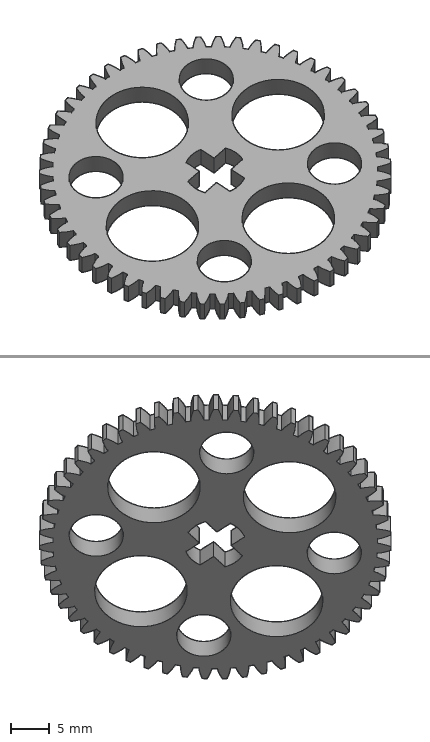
import cadquery as cq
import math

tooth_count = 55
outer_diameter = 45.6
thickness = 3.0
pressure_angle = math.radians(20)
dedendum_factor = 7 / 6
first_tooth_angle = -1.2
flank_points = 6

large_hole_diameter = 12.0
large_hole_circle_radius = 12.5
small_hole_diameter = 7.0
small_hole_circle_radius = 15.5
holes_per_circle = 4

axle_diameter = 8.02
axle_arm_width = 2.9

module = outer_diameter / (tooth_count + 2)
pitch_radius = module * tooth_count / 2
outer_radius = outer_diameter / 2
root_radius = pitch_radius - dedendum_factor * module
base_radius = pitch_radius * math.cos(pressure_angle)
tooth_pitch = 2 * math.pi / tooth_count


def polar(radius, angle):
    return (radius * math.cos(angle), radius * math.sin(angle))


def involute(angle):
    return math.tan(angle) - angle


def half_tooth_angle(radius):
    """Angle between a tooth's centre line and its involute flank at a radius."""
    flank_angle = math.acos(base_radius / radius)
    return tooth_pitch / 4 + involute(pressure_angle) - involute(flank_angle)


def gear_blank():
    flank_step = (outer_radius - root_radius) / (flank_points - 1)
    radii = [root_radius + i * flank_step for i in range(flank_points)]
    root_half_angle = half_tooth_angle(root_radius)
    first_centre = math.radians(first_tooth_angle)

    outline = cq.Workplane("XY").moveTo(*polar(root_radius, first_centre - root_half_angle))
    for tooth in range(tooth_count):
        centre = first_centre + tooth * tooth_pitch
        rising = [polar(r, centre - half_tooth_angle(r)) for r in radii]
        falling = [polar(r, centre + half_tooth_angle(r)) for r in reversed(radii)]
        gap_middle = polar(root_radius, centre + tooth_pitch / 2)
        next_tooth = polar(root_radius, centre + tooth_pitch - root_half_angle)

        outline = outline.spline(rising[1:], includeCurrent=True)
        outline = outline.threePointArc(polar(outer_radius, centre), falling[0])
        outline = outline.spline(falling[1:], includeCurrent=True)
        outline = outline.threePointArc(gap_middle, next_tooth)
    return outline.close().extrude(thickness)


def hole_circle(circle_radius, diameter, start_angle):
    return (
        cq.Workplane("XY")
        .polarArray(circle_radius, start_angle, 360, holes_per_circle)
        .circle(diameter / 2)
        .extrude(thickness)
    )


def axle_hole():
    """Two crossed bars with their ends rounded to the axle diameter."""
    bar_along_x = cq.Workplane("XY").rect(axle_diameter, axle_arm_width).extrude(thickness)
    bar_along_y = cq.Workplane("XY").rect(axle_arm_width, axle_diameter).extrude(thickness)
    axle_round = cq.Workplane("XY").circle(axle_diameter / 2).extrude(thickness)
    return bar_along_x.union(bar_along_y).intersect(axle_round)


result = (
    gear_blank()
    .cut(hole_circle(large_hole_circle_radius, large_hole_diameter, 0))
    .cut(hole_circle(small_hole_circle_radius, small_hole_diameter, 45))
    .cut(axle_hole())
)